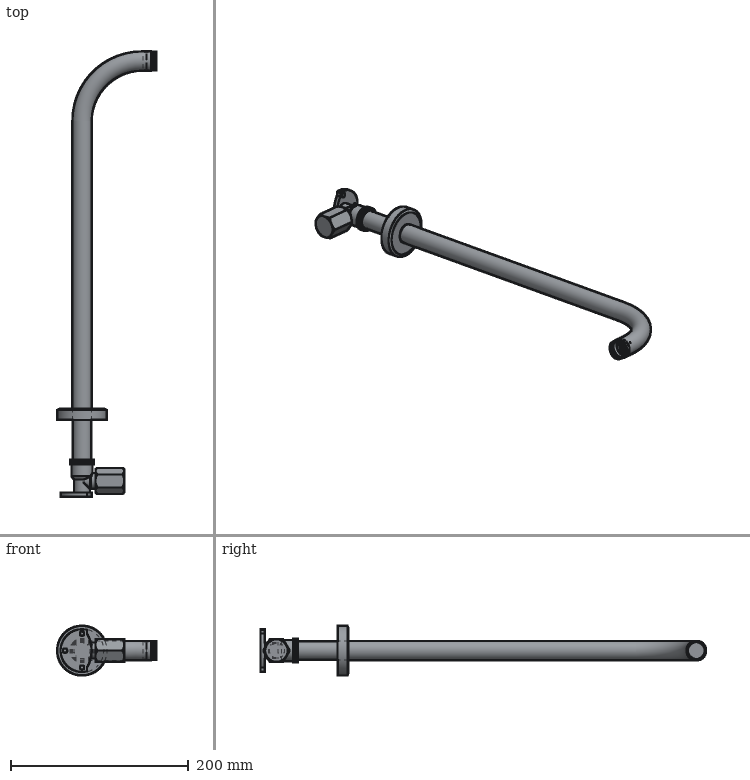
import cadquery as cq
import math

PLATE_BACK = 5
BRANCH_Y = 18.0
CONE_START = 19.5
SOCKET_START = 23.5
SOCKET_END = 36.5
COLLAR_END = 42.0
FLANGE_FRONT = 86.5
FLANGE_BACK = 99.0
SPOUT_TOP = 501

BRANCH_END = 9.0
STEM_END = 15.0
HANDLE_END = 47.5
SPOUT_END = 83.5

PIPE_DIAMETER = 22.0
BEND_RADIUS = 67.5
SPOUT_AXIS_Y = SPOUT_TOP - PIPE_DIAMETER / 2
BEND_START_Y = SPOUT_AXIS_Y - BEND_RADIUS
THREAD_LENGTH = 6.0
THREAD_DIAMETER = 21.0
THREAD_PITCH = 1.5
GROOVE_WIDTH = THREAD_PITCH / 2
GROOVE_DEPTH = 0.25
BORE_DIAMETER = 19.0
BORE_DEPTH = 15.0
MOUTH_DIAMETER = 19.5
MOUTH_DEPTH = 11.0

TUBE_DIAMETER = 21.0
FLANGE_DIAMETER = 56.0
FLANGE_CHAMFER_DEPTH = 1.5
FLANGE_CHAMFER_WIDTH = 3.5
COLLAR_DIAMETER = 27.0
COLLAR_GROOVES = 2
COLLAR_GROOVE_DEPTH = 0.5

SOCKET_DIAMETER = 24.0
NECK_DIAMETER = 18.0
STEM_CHAMFER = 1.0
HANDLE_FLATS = 25.5
HANDLE_CORNERS = HANDLE_FLATS / math.cos(math.radians(30))
HANDLE_CHAMFER = 2.0

PLATE_RADIUS = 24.0
PLATE_CUT_X = 5.5
PLATE_CUT_HALF_HEIGHT = 19.0
PLATE_BULGE_X = 11.0
HOLE_DIAMETER = 5.0
HOLE_CIRCLE_RADIUS = 19.0
HOLE_ANGLES = (90, 180, 270)


def rod_along_y(diameter, start, end):
    """Round bar on the Y axis between two stations."""
    return cq.Workplane("XZ", origin=(0, start, 0)).circle(diameter / 2).extrude(start - end)


def rod_along_x(diameter, start, end, axis_y):
    """Round bar parallel to X between two stations."""
    return cq.Workplane("YZ", origin=(start, axis_y, 0)).circle(diameter / 2).extrude(end - start)


def make_pipe():
    """Straight pipe with a quarter bend and a bored, threaded outlet."""
    thread_start = SPOUT_END - THREAD_LENGTH
    straight = rod_along_y(PIPE_DIAMETER, FLANGE_BACK, BEND_START_Y)
    bend_path = (
        cq.Workplane("XY")
        .moveTo(0, BEND_START_Y)
        .radiusArc((BEND_RADIUS, SPOUT_AXIS_Y), BEND_RADIUS)
    )
    bend = (
        cq.Workplane("XZ", origin=(0, BEND_START_Y, 0))
        .circle(PIPE_DIAMETER / 2)
        .sweep(bend_path)
    )
    outlet = rod_along_x(PIPE_DIAMETER, BEND_RADIUS, thread_start, SPOUT_AXIS_Y)
    thread = rod_along_x(THREAD_DIAMETER, thread_start, SPOUT_END, SPOUT_AXIS_Y)
    pipe = straight.union(bend).union(outlet).union(thread)

    for index in range(round(THREAD_LENGTH / THREAD_PITCH)):
        groove_start = thread_start + index * THREAD_PITCH
        groove_end = groove_start + GROOVE_WIDTH
        root_diameter = THREAD_DIAMETER - 2 * GROOVE_DEPTH
        groove = rod_along_x(PIPE_DIAMETER, groove_start, groove_end, SPOUT_AXIS_Y)
        root = rod_along_x(root_diameter, groove_start, groove_end, SPOUT_AXIS_Y)
        pipe = pipe.cut(groove.cut(root))

    bore = rod_along_x(BORE_DIAMETER, SPOUT_END - BORE_DEPTH, SPOUT_END, SPOUT_AXIS_Y)
    mouth = rod_along_x(MOUTH_DIAMETER, SPOUT_END - MOUTH_DEPTH, SPOUT_END, SPOUT_AXIS_Y)
    return pipe.cut(bore).cut(mouth)


def make_tube():
    """Supply tube from the valve socket through the flange to the pipe."""
    return rod_along_y(TUBE_DIAMETER, SOCKET_END, FLANGE_BACK)


def make_flange():
    """Round wall flange with its back rim chamfered."""
    rim_radius = FLANGE_DIAMETER / 2
    flange = (
        cq.Workplane("XY")
        .moveTo(0, FLANGE_FRONT)
        .lineTo(rim_radius, FLANGE_FRONT)
        .lineTo(rim_radius, FLANGE_BACK - FLANGE_CHAMFER_DEPTH)
        .lineTo(rim_radius - FLANGE_CHAMFER_WIDTH, FLANGE_BACK)
        .lineTo(0, FLANGE_BACK)
        .close()
        .revolve(360, (0, 0, 0), (0, 1, 0))
    )
    return flange.cut(make_tube())


def make_collar():
    """Ring around the tube at the mouth of the valve socket, with evenly spaced shallow grooves."""
    collar = rod_along_y(COLLAR_DIAMETER, SOCKET_END, COLLAR_END)
    band_count = 2 * COLLAR_GROOVES + 1
    band_width = (COLLAR_END - SOCKET_END) / band_count
    root_diameter = COLLAR_DIAMETER - 2 * COLLAR_GROOVE_DEPTH
    for band in range(1, band_count, 2):
        groove_start = SOCKET_END + band * band_width
        groove_end = groove_start + band_width
        groove = rod_along_y(COLLAR_DIAMETER, groove_start, groove_end)
        root = rod_along_y(root_diameter, groove_start, groove_end)
        collar = collar.cut(groove.cut(root))
    return collar.cut(make_tube())


def make_valve():
    """Valve body: neck, conical shoulder, socket and a side branch."""
    neck_radius = NECK_DIAMETER / 2
    socket_radius = SOCKET_DIAMETER / 2
    body = (
        cq.Workplane("XY")
        .moveTo(0, PLATE_BACK)
        .lineTo(neck_radius, PLATE_BACK)
        .lineTo(neck_radius, CONE_START)
        .lineTo(socket_radius, SOCKET_START)
        .lineTo(socket_radius, SOCKET_END)
        .lineTo(0, SOCKET_END)
        .close()
        .revolve(360, (0, 0, 0), (0, 1, 0))
    )
    return body.union(rod_along_x(NECK_DIAMETER, 0, BRANCH_END, BRANCH_Y))


def make_stem():
    """Short round stem between the side branch and the handle."""
    stem = rod_along_x(NECK_DIAMETER, BRANCH_END, STEM_END, BRANCH_Y)
    stem = stem.faces("<X").chamfer(STEM_CHAMFER)
    return stem.cut(make_valve())


def make_handle():
    """Hexagonal handle with its corners turned off at both ends."""
    hexagon = (
        cq.Workplane("YZ", origin=(STEM_END, BRANCH_Y, 0))
        .polygon(6, HANDLE_CORNERS)
        .extrude(HANDLE_END - STEM_END)
    )
    turned = rod_along_x(HANDLE_CORNERS, STEM_END, HANDLE_END, BRANCH_Y)
    return hexagon.intersect(turned.edges().chamfer(HANDLE_CHAMFER))


def make_plate():
    """Round plate cut back beside the handle to a shallow arc, with three through holes."""
    cut_corner_z = math.sqrt(PLATE_RADIUS**2 - PLATE_CUT_X**2)
    plate = (
        cq.Workplane("XZ")
        .moveTo(PLATE_CUT_X, cut_corner_z)
        .threePointArc((-PLATE_RADIUS, 0), (PLATE_CUT_X, -cut_corner_z))
        .lineTo(PLATE_CUT_X, -PLATE_CUT_HALF_HEIGHT)
        .threePointArc((PLATE_BULGE_X, 0), (PLATE_CUT_X, PLATE_CUT_HALF_HEIGHT))
        .close()
        .extrude(-PLATE_BACK)
    )
    for angle in HOLE_ANGLES:
        hole_x = HOLE_CIRCLE_RADIUS * math.cos(math.radians(angle))
        hole_z = HOLE_CIRCLE_RADIUS * math.sin(math.radians(angle))
        hole = rod_along_y(HOLE_DIAMETER, 0, PLATE_BACK).translate((hole_x, 0, hole_z))
        plate = plate.cut(hole)
    return plate


pipe = make_pipe()
tube = make_tube()
flange = make_flange()
collar = make_collar()
valve = make_valve()
stem = make_stem()
handle = make_handle()
plate = make_plate()

result = cq.Compound.makeCompound(
    [
        pipe.val(),
        tube.val(),
        flange.val(),
        collar.val(),
        valve.val(),
        stem.val(),
        handle.val(),
        plate.val(),
    ]
)